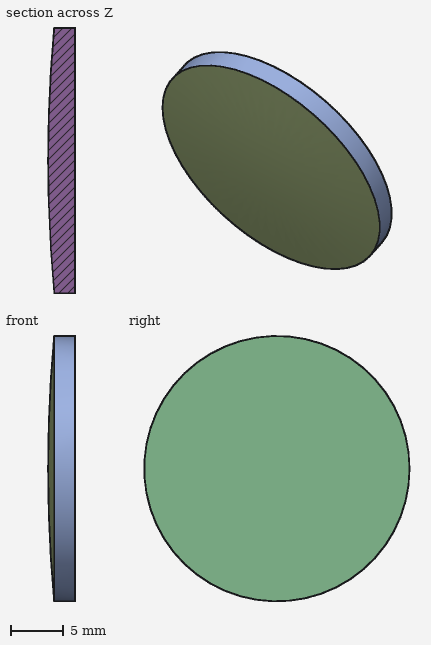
import cadquery as cq

diameter = 25.4
total_thickness = 2.6
edge_thickness = 2.0

radius = diameter / 2
dome_height = total_thickness - edge_thickness
sphere_radius = (radius**2 + dome_height**2) / (2 * dome_height)

mid_radius = radius / 2
mid_depth = sphere_radius - (sphere_radius**2 - mid_radius**2) ** 0.5

half_section = (
    cq.Workplane("XY")
    .moveTo(0, 0)
    .threePointArc((mid_depth, mid_radius), (dome_height, radius))
    .lineTo(total_thickness, radius)
    .lineTo(total_thickness, 0)
    .close()
)

result = half_section.revolve(360, (0, 0, 0), (1, 0, 0))